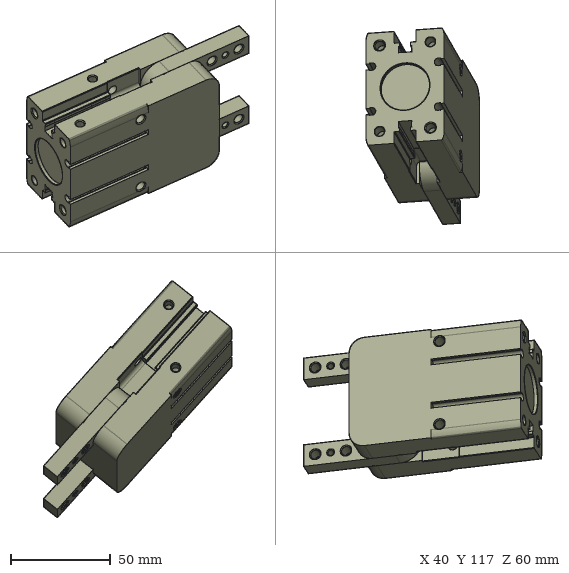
import cadquery as cq
import math

BODY_WIDTH = 40.0
BODY_LENGTH = 89.2
BODY_HEIGHT = 60.0
TOTAL_LENGTH = 117.0
HALF_WIDTH = BODY_WIDTH / 2
HALF_HEIGHT = BODY_HEIGHT / 2
BACK_CORNER_RADIUS = 8.0
OVERCUT = 1.0

PROFILE_LENGTH = 46.7
CORNER_ARC_START = 4.4
CORNER_ARC_RADIUS = 10.0
CORNER_ROUND_RADIUS = 0.8

GROOVE_HEIGHT = 12.0
GROOVE_NECK = 3.2
GROOVE_BORE_WIDTH = 4.0
GROOVE_NECK_DEPTH = 1.9
GROOVE_DEPTH = 5.0

SLOT_WIDTH = 11.0
SLOT_STEP_DEPTH = 6.3
SLOT_CHAMFER = 0.35
NECK_WIDTH = 5.4
NECK_END_DEPTH = 8.2
TEE_WIDTH = 6.8
TEE_DEPTH = 11.55
POCKET_START = 39.0
POCKET_END = 58.0
POCKET_WIDTH = 11.7
POCKET_DEPTH = 11.7
POCKET_FILLET = 2.15

FINGER_WIDTH = 9.0
FINGER_THICKNESS = 12.0
FINGER_TAIL_RADIUS = 11.2
FINGER_HOLE_Z = HALF_HEIGHT - FINGER_THICKNESS / 2
FINGER_SCREW_INSETS = (6.0, 22.0)
FINGER_PIN_INSET = 14.0
PIN_HOLE_DIAMETER = 3.0
PIN_HOLE_RIM = 4.0

SCREW_DIAMETER = 4.92
SCREW_RIM = 6.0
PLAIN_DIAMETER = 5.0
PLAIN_RIM = 5.4
SCREW_DEPTH = 7.0
FRONT_HOLE_X = 13.0
FRONT_HOLE_Z = 23.0
SIDE_HOLE_Y = 42.2
SIDE_HOLE_Z = 23.0
PORT_DIAMETER = 4.13
PORT_RIM = 5.2
PORT_DEPTH = 6.0
PORT_X = 12.1
PORT_NEAR_Y = 11.0
PORT_FAR_Y = 34.3
TIP_ANGLE = 118.0
CAP_DIAMETER = 25.0
CAP_RIM = 25.5
CAP_DEPTH = 2.0


def hole_cutter(diameter, rim, depth, start, direction):
    """Drill shape with a 45 degree countersunk rim and a conical tip."""
    radius = diameter / 2
    sink = (rim - diameter) / 2
    tip = radius / math.tan(math.radians(TIP_ANGLE / 2))
    profile = (
        cq.Workplane("XZ")
        .moveTo(0, 0)
        .lineTo(rim / 2, 0)
        .lineTo(radius, sink)
        .lineTo(radius, depth)
        .lineTo(0, depth + tip)
        .close()
    )
    drill = profile.revolve(360, (0, 0, 0), (0, 1, 0)).val()
    return drill.moved(cq.Plane(origin=start, normal=direction).location)


def through_hole_cutter(diameter, rim, width, y, z):
    """Hole along X through a given width, countersunk at both ends."""
    radius = diameter / 2
    sink = (rim - diameter) / 2
    half = width / 2
    profile = (
        cq.Workplane("XY")
        .moveTo(-half, 0)
        .lineTo(-half, rim / 2)
        .lineTo(-half + sink, radius)
        .lineTo(half - sink, radius)
        .lineTo(half, rim / 2)
        .lineTo(half, 0)
        .close()
    )
    return profile.revolve(360, (0, 0, 0), (1, 0, 0)).translate((0, y, z))


def box_between(x_size, y_start, y_end, z_bottom, z_top):
    """Box centred on x = 0."""
    return (
        cq.Workplane("XY", origin=(0, (y_start + y_end) / 2, z_bottom))
        .box(x_size, y_end - y_start, z_top - z_bottom, centered=(True, True, False))
    )


def both_ends(cutter):
    """The cutter for the top of the body, and its mirror for the bottom."""
    return cutter.union(cutter.mirror("XY"))


def corner_cutter():
    """Material outside the edge at +x, +z: a wide arc running into a small round."""
    turn = math.asin(
        (CORNER_ARC_START - CORNER_ROUND_RADIUS) / (CORNER_ARC_RADIUS - CORNER_ROUND_RADIUS)
    )
    join_x = HALF_WIDTH - CORNER_ARC_RADIUS * (1 - math.cos(turn))
    join_z = HALF_HEIGHT - CORNER_ROUND_RADIUS * (1 - math.sin(turn))
    top_x = join_x - CORNER_ROUND_RADIUS * math.cos(turn)
    return (
        cq.Workplane("XZ")
        .moveTo(HALF_WIDTH, HALF_HEIGHT - CORNER_ARC_START)
        .radiusArc((join_x, join_z), -CORNER_ARC_RADIUS)
        .radiusArc((top_x, HALF_HEIGHT), -CORNER_ROUND_RADIUS)
        .lineTo(HALF_WIDTH, HALF_HEIGHT)
        .close()
        .extrude(-PROFILE_LENGTH)
    )


def groove_cutter():
    """Groove in the +x side above the middle: narrow neck, wider round-bottomed inside."""
    radius = GROOVE_BORE_WIDTH / 2
    neck_half = GROOVE_NECK / 2
    neck_x = HALF_WIDTH - GROOVE_NECK_DEPTH
    deepest_x = HALF_WIDTH - GROOVE_DEPTH
    round_x = deepest_x + radius
    return (
        cq.Workplane("XZ")
        .moveTo(HALF_WIDTH, GROOVE_HEIGHT + neck_half)
        .lineTo(neck_x, GROOVE_HEIGHT + neck_half)
        .lineTo(neck_x, GROOVE_HEIGHT + radius)
        .lineTo(round_x, GROOVE_HEIGHT + radius)
        .threePointArc((deepest_x, GROOVE_HEIGHT), (round_x, GROOVE_HEIGHT - radius))
        .lineTo(neck_x, GROOVE_HEIGHT - radius)
        .lineTo(neck_x, GROOVE_HEIGHT - neck_half)
        .lineTo(HALF_WIDTH, GROOVE_HEIGHT - neck_half)
        .close()
        .extrude(-PROFILE_LENGTH)
    )


def slot_cutter():
    """Stepped T slot, round-bottomed pocket and finger slot in the top face."""
    step_z = HALF_HEIGHT - SLOT_STEP_DEPTH
    neck_end_z = HALF_HEIGHT - NECK_END_DEPTH
    tee_z = HALF_HEIGHT - TEE_DEPTH
    slot_half = SLOT_WIDTH / 2
    neck_half = NECK_WIDTH / 2
    right_side = [
        (slot_half + SLOT_CHAMFER, HALF_HEIGHT),
        (slot_half, HALF_HEIGHT - SLOT_CHAMFER),
        (slot_half, step_z + SLOT_CHAMFER),
        (slot_half - SLOT_CHAMFER, step_z),
        (neck_half + SLOT_CHAMFER, step_z),
        (neck_half, step_z - SLOT_CHAMFER),
        (neck_half, neck_end_z),
        (TEE_WIDTH / 2, neck_end_z),
        (TEE_WIDTH / 2, tee_z),
    ]
    left_side = [(-x, z) for x, z in reversed(right_side)]
    tee = cq.Workplane("XZ").polyline(right_side + left_side).close().extrude(-POCKET_START)
    pocket = box_between(
        POCKET_WIDTH, POCKET_START, POCKET_END, HALF_HEIGHT - POCKET_DEPTH, HALF_HEIGHT
    )
    pocket = pocket.edges("|Y and <Z").fillet(POCKET_FILLET)
    pocket_half = POCKET_WIDTH / 2
    pocket_chamfer = (
        cq.Workplane("XZ", origin=(0, POCKET_START, 0))
        .moveTo(-pocket_half - SLOT_CHAMFER, HALF_HEIGHT)
        .lineTo(pocket_half + SLOT_CHAMFER, HALF_HEIGHT)
        .lineTo(pocket_half, HALF_HEIGHT - SLOT_CHAMFER)
        .lineTo(-pocket_half, HALF_HEIGHT - SLOT_CHAMFER)
        .close()
        .extrude(POCKET_START - POCKET_END)
    )
    finger_slot = box_between(
        FINGER_WIDTH,
        POCKET_END,
        BODY_LENGTH + OVERCUT,
        HALF_HEIGHT - FINGER_THICKNESS,
        HALF_HEIGHT + OVERCUT,
    )
    return tee.union(pocket).union(pocket_chamfer).union(finger_slot)


def make_body():
    body = box_between(BODY_WIDTH, 0, BODY_LENGTH, -HALF_HEIGHT, HALF_HEIGHT)
    body = body.edges("|X and >Y").fillet(BACK_CORNER_RADIUS)

    side_profile = both_ends(corner_cutter().union(groove_cutter()))
    body = body.cut(side_profile).cut(side_profile.mirror("YZ"))
    body = body.cut(both_ends(slot_cutter()))

    cap = cq.Workplane("XZ").circle(CAP_DIAMETER / 2).extrude(-CAP_DEPTH)
    cap_rim = (
        cq.Workplane("XZ")
        .circle(CAP_RIM / 2)
        .workplane(offset=-(CAP_RIM - CAP_DIAMETER) / 2)
        .circle(CAP_DIAMETER / 2)
        .loft()
    )
    body = body.cut(cap).cut(cap_rim)

    for side in (-1, 1):
        for end in (-1, 1):
            countersunk = side != end
            diameter = SCREW_DIAMETER if countersunk else PLAIN_DIAMETER
            rim = SCREW_RIM if countersunk else PLAIN_RIM
            start = (side * FRONT_HOLE_X, 0, end * FRONT_HOLE_Z)
            screw_hole = hole_cutter(diameter, rim, SCREW_DEPTH, start, (0, 1, 0))
            body = body.cut(cq.Workplane(screw_hole))

    for end in (-1, 1):
        body = body.cut(
            through_hole_cutter(SCREW_DIAMETER, SCREW_RIM, BODY_WIDTH, SIDE_HOLE_Y, end * SIDE_HOLE_Z)
        )

    for x, y in ((-PORT_X, PORT_FAR_Y), (PORT_X, PORT_NEAR_Y)):
        port = hole_cutter(PORT_DIAMETER, PORT_RIM, PORT_DEPTH, (x, y, HALF_HEIGHT), (0, 0, -1))
        body = body.cut(cq.Workplane(port))
    return body


def make_upper_finger():
    """Flat bar in the upper finger slot, with a rounded tail and three cross holes."""
    finger = box_between(
        FINGER_WIDTH, POCKET_END, TOTAL_LENGTH, HALF_HEIGHT - FINGER_THICKNESS, HALF_HEIGHT
    )
    finger = finger.edges("|X and <Y and >Z").fillet(FINGER_TAIL_RADIUS)
    for inset in FINGER_SCREW_INSETS:
        y = TOTAL_LENGTH - inset
        finger = finger.cut(
            through_hole_cutter(SCREW_DIAMETER, SCREW_RIM, FINGER_WIDTH, y, FINGER_HOLE_Z)
        )
    pin_y = TOTAL_LENGTH - FINGER_PIN_INSET
    return finger.cut(
        through_hole_cutter(PIN_HOLE_DIAMETER, PIN_HOLE_RIM, FINGER_WIDTH, pin_y, FINGER_HOLE_Z)
    )


body = make_body()
upper_finger = make_upper_finger()
lower_finger = upper_finger.mirror("XY")

result = cq.Compound.makeCompound([body.val(), upper_finger.val(), lower_finger.val()])